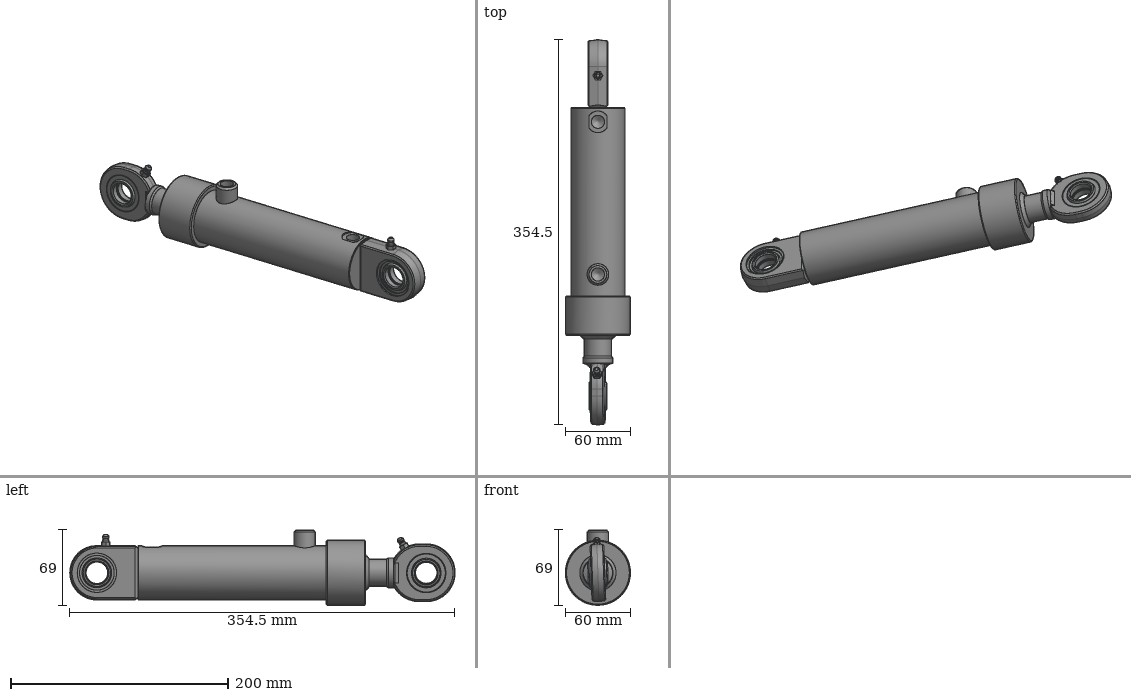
import cadquery as cq
import math


TOTAL_LENGTH = 354.5
TOTAL_HEIGHT = 69.0

BARREL_DIA = 50.0
BARREL_REAR_Y = -37.5
BARREL_CHAMFER = 0.7
HEAD_DIA = 60.0
HEAD_REAR_Y = -211.0
HEAD_FRONT_Y = -247.0
HEAD_CHAMFER = 1.0
WIPER_BASE_DIA = 33.5
WIPER_TIP_DIA = 26.5
WIPER_LENGTH = 3.2

PORT_DIA = 20.0
PORT_HOLE_DIA = 12.0
PORT_HOLE_DEPTH = 12.0
DRILL_TIP_ANGLE = 118.0
REAR_PORT_Y = -50.7
REAR_PORT_SPOTFACE_DEPTH = 1.5
FRONT_PORT_Y = -191.0
FRONT_PORT_TOP_Z = TOTAL_HEIGHT - HEAD_DIA / 2
FRONT_PORT_CHAMFER = 1.8

DRAFT_ANGLE = 7.0
REAR_EYE_RADIUS = BARREL_DIA / 2
REAR_EYE_WIDTH = 18.5
REAR_EYE_CHAMFER = 1.0
NECK_REAR_Y = -35.0
NECK_TAPER_ANGLE = 40.0
ROD_EYE_RADIUS = 26.5
ROD_EYE_WIDTH = 12.8
ROD_EYE_CHAMFER = 1.25
ROD_EYE_STRAIGHT = 6.5
ROD_EYE_TILT = 2.0
ROD_EYE_RECESS_DEPTH = 0.5
ROD_EYE_Y = REAR_EYE_RADIUS + ROD_EYE_RADIUS - TOTAL_LENGTH
ROD_EYE_BACK_Y = ROD_EYE_Y + ROD_EYE_STRAIGHT

ROD_DIA = 25.0
ROD_END_Y = -266.2
COLLAR_DIA = 27.5
COLLAR_REAR_Y = -268.0
COLLAR_FRONT_Y = -272.5
COLLAR_TIP_DIA = 18.5
COLLAR_TIP_Y = -274.5
WEDGE_TIP_Y = -277.5
WEDGE_HEIGHT = 18.5

BEARING_DIA = 35.0
RACE_WIDTH = 12.0
BALL_WIDTH = 16.0
BALL_FACE_DIA = 25.0
BALL_BORE_DIA = 20.0
BALL_BORE_CHAMFER = 1.0
OIL_GROOVE_WIDTH = 1.8
OIL_GROOVE_DEPTH = 0.7

LIP_DIA = 32.0
LIP_WIDTH = 1.5
RECESS_DIA = 36.0

NIPPLE_HEX_FLATS = 7.8
NIPPLE_HEX_HEIGHT = 3.2
NIPPLE_STEM_DIA = 5.5
NIPPLE_STEM_TOP = 5.3
NIPPLE_WAIST_DIA = 4.5
NIPPLE_WAIST_TOP = 6.5
NIPPLE_HEAD_DIA = 6.0
NIPPLE_HEAD_BASE = 7.0
NIPPLE_HEAD_TOP = 8.5
NIPPLE_TIP_DIA = 3.0
NIPPLE_HEIGHT = 10.3
NIPPLE_ROOT = 1.5
REAR_NIPPLE_Y = -8.0
ROD_NIPPLE_ANGLE = 30.0


def revolve_about_y(points):
    """Revolve a closed (radius, y) outline about the Y axis."""
    return cq.Workplane("XY").polyline(points).close().revolve(360, (0, 0), (0, 1))


def x_cylinder(dia, width):
    """Cylinder along X, centred on the origin."""
    return cq.Workplane("YZ").circle(dia / 2).extrude(width / 2, both=True)


def drafted_slab(outline, width, chamfer):
    """Forged slab across X: widest at its middle parting line, drafted towards both chamfered faces."""
    half = outline.extrude(width / 2, taper=DRAFT_ANGLE).faces(">X").chamfer(chamfer)
    return half.union(half.mirror("YZ"))


def grease_nipple():
    """Nipple standing on the origin along +Z, with a root sunk below its hexagon."""
    hex_across_corners = NIPPLE_HEX_FLATS / math.cos(math.pi / 6)
    hexagon = (
        cq.Workplane("XY")
        .workplane(offset=-NIPPLE_ROOT)
        .polygon(6, hex_across_corners)
        .extrude(NIPPLE_ROOT + NIPPLE_HEX_HEIGHT)
    )
    stem = (
        cq.Workplane("XZ")
        .polyline([
            (0, 0),
            (NIPPLE_STEM_DIA / 2, 0),
            (NIPPLE_STEM_DIA / 2, NIPPLE_STEM_TOP),
            (NIPPLE_WAIST_DIA / 2, NIPPLE_WAIST_TOP),
            (NIPPLE_HEAD_DIA / 2, NIPPLE_HEAD_BASE),
            (NIPPLE_HEAD_DIA / 2, NIPPLE_HEAD_TOP),
            (NIPPLE_TIP_DIA / 2, NIPPLE_HEIGHT),
            (0, NIPPLE_HEIGHT),
        ])
        .close()
        .revolve(360, (0, 0), (0, 1))
    )
    return hexagon.union(stem)


def port_hole(y, top_z):
    """Blind drilled hole with a conical bottom, going down from top_z."""
    radius = PORT_HOLE_DIA / 2
    tip_depth = radius / math.tan(math.radians(DRILL_TIP_ANGLE / 2))
    hole = (
        cq.Workplane("XZ")
        .polyline([
            (0, 0),
            (radius, 0),
            (radius, -PORT_HOLE_DEPTH),
            (0, -PORT_HOLE_DEPTH - tip_depth),
        ])
        .close()
        .revolve(360, (0, 0), (0, 1))
    )
    return hole.translate((0, y, top_z))


def rear_eye():
    """Rear eye with its neck, bearing seat and grease nipple."""
    radius = REAR_EYE_RADIUS
    overrun_y = BARREL_REAR_Y - radius
    outline = (
        cq.Workplane("YZ")
        .moveTo(overrun_y, -radius)
        .lineTo(0, -radius)
        .threePointArc((radius, 0), (0, radius))
        .lineTo(overrun_y, radius)
        .close()
    )
    slab = drafted_slab(outline, REAR_EYE_WIDTH, REAR_EYE_CHAMFER)
    envelope_size = (REAR_EYE_WIDTH, 2 * radius)
    rear_envelope = (
        cq.Workplane("XZ")
        .workplane(offset=-NECK_REAR_Y)
        .rect(*envelope_size)
        .extrude(NECK_REAR_Y - radius)
    )
    neck_envelope = (
        cq.Workplane("XZ")
        .workplane(offset=-NECK_REAR_Y)
        .rect(*envelope_size)
        .extrude(NECK_REAR_Y - BARREL_REAR_Y, taper=NECK_TAPER_ANGLE)
    )
    eye = slab.intersect(rear_envelope.union(neck_envelope))
    eye = eye.union(grease_nipple().translate((0, REAR_NIPPLE_Y, radius)))

    seat = x_cylinder(BEARING_DIA, RACE_WIDTH)
    lip_bore = x_cylinder(LIP_DIA, REAR_EYE_WIDTH)
    recess = x_cylinder(RECESS_DIA, REAR_EYE_WIDTH).cut(x_cylinder(RECESS_DIA, RACE_WIDTH + 2 * LIP_WIDTH))
    return eye.cut(seat).cut(lip_bore).cut(recess)


def make_housing():
    """Barrel, head, wiper, ports and rear eye, bored for the rod from the front."""
    barrel = (
        cq.Workplane("XZ")
        .workplane(offset=-BARREL_REAR_Y)
        .circle(BARREL_DIA / 2)
        .extrude(BARREL_REAR_Y - HEAD_REAR_Y)
        .faces(">Y")
        .chamfer(BARREL_CHAMFER)
    )
    head = (
        cq.Workplane("XZ")
        .workplane(offset=-HEAD_REAR_Y)
        .circle(HEAD_DIA / 2)
        .extrude(HEAD_REAR_Y - HEAD_FRONT_Y)
        .faces("<Y or >Y")
        .chamfer(HEAD_CHAMFER)
    )
    wiper = revolve_about_y([
        (0, HEAD_FRONT_Y),
        (WIPER_BASE_DIA / 2, HEAD_FRONT_Y),
        (WIPER_TIP_DIA / 2, HEAD_FRONT_Y - WIPER_LENGTH),
        (0, HEAD_FRONT_Y - WIPER_LENGTH),
    ])
    front_port = (
        cq.Workplane("XY")
        .center(0, FRONT_PORT_Y)
        .circle(PORT_DIA / 2)
        .extrude(FRONT_PORT_TOP_Z)
        .faces(">Z")
        .chamfer(FRONT_PORT_CHAMFER)
    )
    rear_port_z = BARREL_DIA / 2 - REAR_PORT_SPOTFACE_DEPTH
    spotface = (
        cq.Workplane("XY")
        .workplane(offset=rear_port_z)
        .center(0, REAR_PORT_Y)
        .circle(PORT_DIA / 2)
        .extrude(BARREL_DIA)
    )
    rod_bore = (
        cq.Workplane("XZ")
        .workplane(offset=-HEAD_REAR_Y)
        .circle(ROD_DIA / 2)
        .extrude(HEAD_REAR_Y - HEAD_FRONT_Y + WIPER_LENGTH)
    )
    body = barrel.union(head).union(wiper).union(front_port)
    body = body.cut(spotface).cut(rod_bore)
    body = body.cut(port_hole(REAR_PORT_Y, rear_port_z))
    body = body.cut(port_hole(FRONT_PORT_Y, FRONT_PORT_TOP_Z))
    return body.union(rear_eye())


def rod_eye():
    """Rod eye with straight flanks between two round ends, and a grease nipple on its back shoulder."""
    radius = ROD_EYE_RADIUS
    outline = (
        cq.Workplane("YZ")
        .moveTo(ROD_EYE_Y, radius)
        .threePointArc((ROD_EYE_Y - radius, 0), (ROD_EYE_Y, -radius))
        .lineTo(ROD_EYE_BACK_Y, -radius)
        .threePointArc((ROD_EYE_BACK_Y + radius, 0), (ROD_EYE_BACK_Y, radius))
        .close()
    )
    slab = drafted_slab(outline, ROD_EYE_WIDTH, ROD_EYE_CHAMFER)
    nipple = (
        grease_nipple()
        .translate((0, 0, radius))
        .rotate((0, 0, 0), (1, 0, 0), -ROD_NIPPLE_ANGLE)
        .translate((0, ROD_EYE_BACK_Y, 0))
    )
    seat = x_cylinder(BEARING_DIA, ROD_EYE_WIDTH)
    recess = x_cylinder(RECESS_DIA, ROD_EYE_WIDTH)
    recess = recess.cut(x_cylinder(RECESS_DIA, ROD_EYE_WIDTH - 2 * ROD_EYE_RECESS_DEPTH))
    bore = seat.union(recess).translate((0, ROD_EYE_Y, 0))
    return slab.union(nipple).cut(bore)


def tilt_rod_end(body):
    """Turn a rod-end body about the cylinder axis."""
    return body.rotate((0, 0, 0), (0, 1, 0), -ROD_EYE_TILT)


def make_rod():
    """Piston rod with its collar, the wedge that narrows to the eye, and the eye."""
    shaft = revolve_about_y([
        (0, HEAD_REAR_Y),
        (ROD_DIA / 2, HEAD_REAR_Y),
        (ROD_DIA / 2, ROD_END_Y),
        (COLLAR_DIA / 2, COLLAR_REAR_Y),
        (COLLAR_DIA / 2, COLLAR_FRONT_Y),
        (COLLAR_TIP_DIA / 2, COLLAR_TIP_Y),
        (0, COLLAR_TIP_Y),
    ])
    wedge = (
        cq.Workplane("XY")
        .polyline([
            (COLLAR_TIP_DIA / 2, COLLAR_TIP_Y),
            (ROD_EYE_WIDTH / 2, WEDGE_TIP_Y),
            (-ROD_EYE_WIDTH / 2, WEDGE_TIP_Y),
            (-COLLAR_TIP_DIA / 2, COLLAR_TIP_Y),
        ])
        .close()
        .extrude(WEDGE_HEIGHT / 2, both=True)
    )
    return tilt_rod_end(shaft.union(wedge).union(rod_eye()))


def make_bearing():
    """Spherical bearing at the origin with its bore along X: a race around a wider ball."""
    half_ball = BALL_WIDTH / 2
    half_race = RACE_WIDTH / 2
    face_radius = BALL_FACE_DIA / 2
    bore_radius = BALL_BORE_DIA / 2
    sphere_radius = math.hypot(face_radius, half_ball)

    def sphere_point(x):
        return (x, math.sqrt(sphere_radius ** 2 - x ** 2))

    between = (half_ball + half_race) / 2
    bearing = (
        cq.Workplane("XY")
        .moveTo(BALL_BORE_CHAMFER - half_ball, bore_radius)
        .lineTo(-half_ball, bore_radius + BALL_BORE_CHAMFER)
        .lineTo(-half_ball, face_radius)
        .threePointArc(sphere_point(-between), sphere_point(-half_race))
        .lineTo(-half_race, BEARING_DIA / 2)
        .lineTo(half_race, BEARING_DIA / 2)
        .lineTo(*sphere_point(half_race))
        .threePointArc(sphere_point(between), (half_ball, face_radius))
        .lineTo(half_ball, bore_radius + BALL_BORE_CHAMFER)
        .lineTo(half_ball - BALL_BORE_CHAMFER, bore_radius)
        .close()
        .revolve(360, (0, 0), (1, 0))
    )
    oil_groove = x_cylinder(BALL_BORE_DIA + 2 * OIL_GROOVE_DEPTH, OIL_GROOVE_WIDTH)
    return bearing.cut(oil_groove)


housing = make_housing()
rod = make_rod()
rear_bearing = make_bearing()
rod_bearing = tilt_rod_end(make_bearing().translate((0, ROD_EYE_Y, 0)))
bearings = [rear_bearing, rod_bearing]

result = cq.Compound.makeCompound([
    housing.solids().val(),
    rod.solids().val(),
    *[bearing.solids().val() for bearing in bearings],
])